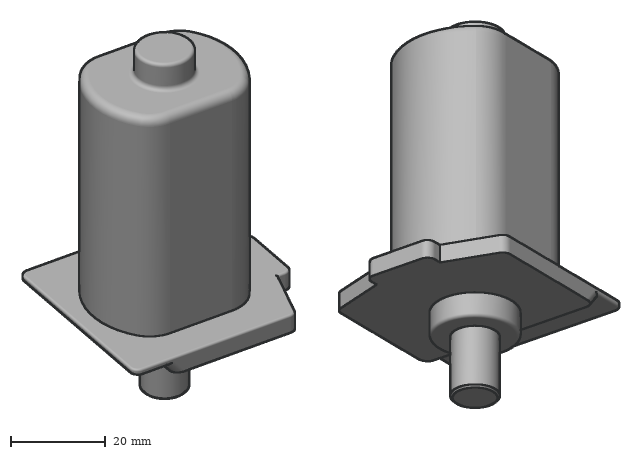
import cadquery as cq
import math

plate_half_width = 22.5
plate_front_y = -22.1
shoulder_y = 18.6
tab_root_y = 23.1
tab_half_width = 8.45
tab_end_y = 26.9
plate_top = 24.5
plate_thickness = 4.4
lip_thickness = 1.5
ramp_bottom_y = -12.1
ramp_top_y = -14.5
corner_radius = 2.0
plate_edge_radius = 0.5

body_radius = 18.0
body_half_width = 14.2
body_corner_radius = 8.0
body_top = 79.7
body_edge_radius = 2.0

top_pin_diameter = 12.9
top_pin_end = 86.2
top_pin_edge_radius = 0.8
top_pin_root_radius = 1.0
collar_diameter = 19.3
collar_bottom = 14.4
collar_edge_radius = 0.8
shaft_diameter = 10.5
shaft_chamfer = 0.5

plate_bottom = plate_top - plate_thickness
lip_bottom = plate_top - lip_thickness


def disc(diameter, bottom, top):
    """Solid cylinder on the Z axis between two heights."""
    return cq.Workplane("XY").workplane(offset=bottom).circle(diameter / 2).extrude(top - bottom)


def plate_prism(bottom, top):
    """Sharp-cornered plate outline, with shoulders and an end tab, between two heights."""
    right_side = [
        (plate_half_width, plate_front_y),
        (plate_half_width, shoulder_y),
        (tab_half_width, tab_root_y),
        (tab_half_width, tab_end_y),
    ]
    left_side = [(-x, y) for x, y in reversed(right_side)]
    outline = cq.Workplane("XY").workplane(offset=bottom).polyline(right_side + left_side).close()
    return outline.extrude(top - bottom)


def round_corners(prism):
    """Round the upright outer corners; the two inner corners at the tab root stay sharp."""
    tab_roots = cq.selectors.BoxSelector(
        (-plate_half_width / 2, tab_root_y - 0.9, 0),
        (plate_half_width / 2, tab_root_y + 0.9, plate_top),
    )
    upright = cq.selectors.ParallelDirSelector(cq.Vector(0, 0, 1))
    return prism.edges(upright - tab_roots).fillet(corner_radius)


def make_lip():
    """Thin full-outline layer with rounded upper and lower rims."""
    lip = round_corners(plate_prism(lip_bottom, plate_top))
    return lip.faces("<Z or >Z").edges().fillet(plate_edge_radius)


def make_thick_layer():
    """Lower layer with a ramped -Y end; it overlaps the lip up to the top of its lower rim round."""
    layer_top = lip_bottom + plate_edge_radius
    ramp_slope = (ramp_top_y - ramp_bottom_y) / (lip_bottom - plate_bottom)
    layer_top_y = ramp_bottom_y + ramp_slope * (layer_top - plate_bottom)
    relief = (
        cq.Workplane("YZ")
        .polyline([
            (plate_front_y, plate_bottom),
            (ramp_bottom_y, plate_bottom),
            (layer_top_y, layer_top),
            (plate_front_y, layer_top),
        ])
        .close()
        .extrude(plate_half_width, both=True)
    )
    layer = round_corners(plate_prism(plate_bottom, layer_top).cut(relief))
    ramp_sides = cq.selectors.ParallelDirSelector(
        cq.Vector(0, layer_top_y - ramp_bottom_y, layer_top - plate_bottom)
    )
    return layer.edges(ramp_sides).fillet(corner_radius)


def make_body():
    """Flattened cylinder whose corner arcs are tangent to both the flats and the round ends."""
    flattened = disc(2 * body_radius, plate_top, body_top).intersect(
        cq.Workplane("XY").box(2 * body_half_width, 2 * body_radius, 2 * body_top)
    )
    return flattened.edges("|Z").fillet(body_corner_radius).faces(">Z").edges().fillet(body_edge_radius)


def make_top_pin():
    """Pin on the body with a rounded end and a flared root."""
    radius = top_pin_diameter / 2
    flare_top = body_top + top_pin_root_radius
    round_bottom = top_pin_end - top_pin_edge_radius
    diagonal = math.sqrt(0.5)
    flare_offset = top_pin_root_radius * (1 - diagonal)
    round_offset = top_pin_edge_radius * (1 - diagonal)
    return (
        cq.Workplane("XZ")
        .moveTo(0, body_top)
        .lineTo(radius + top_pin_root_radius, body_top)
        .threePointArc((radius + flare_offset, body_top + flare_offset), (radius, flare_top))
        .lineTo(radius, round_bottom)
        .threePointArc(
            (radius - round_offset, top_pin_end - round_offset),
            (radius - top_pin_edge_radius, top_pin_end),
        )
        .lineTo(0, top_pin_end)
        .close()
        .revolve(360, (0, 0, 0), (0, 1, 0))
    )


collar = disc(collar_diameter, collar_bottom, plate_bottom).faces("<Z").edges().fillet(collar_edge_radius)
shaft = disc(shaft_diameter, 0, collar_bottom).faces("<Z").edges().chamfer(shaft_chamfer)

plate = make_lip().union(make_thick_layer())
result = plate.union(make_body()).union(make_top_pin()).union(collar).union(shaft)